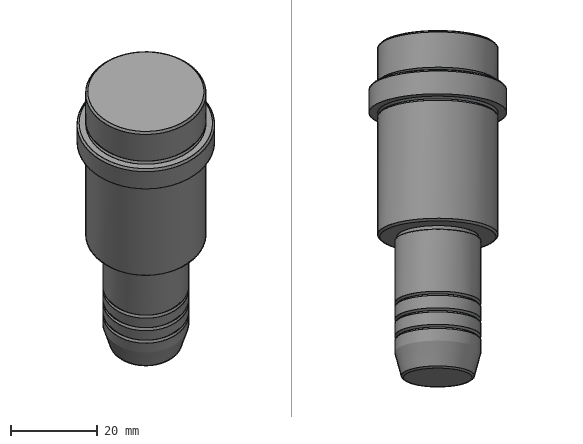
import cadquery as cq
import math

length = 80.0
flange_top = 70.0
flange_bottom = 64.0
body_bottom = 34.0
taper_top = 6.0
groove_tops = [18.0, 14.0, 10.0]

flange_radius = 16.0
body_radius = 14.0
stem_radius = 10.0

edge_chamfer = 0.5
tip_chamfer = 0.4
groove_depth = 0.5
groove_width = 2 * groove_depth
taper_angle = 15.0
tip_radius = stem_radius - taper_top * math.tan(math.radians(taper_angle))


def cylinder(radius, bottom, top):
    return cq.Workplane("XY").workplane(offset=bottom).circle(radius).extrude(top - bottom)


def revolve_profile(points):
    """Turn a closed (radius, z) outline around the Z axis."""
    return cq.Workplane("XZ").polyline(points).close().revolve(360, (0, 0, 0), (0, 1, 0))


def square_groove(radius, top):
    """Ring cutter with a flat floor and straight walls."""
    floor_radius = radius - groove_depth
    bottom = top - groove_width
    return revolve_profile([(radius, top), (floor_radius, top), (floor_radius, bottom), (radius, bottom)])


def v_groove(radius, top):
    """Ring cutter with a 90 degree V section."""
    return revolve_profile([
        (radius, top),
        (radius - groove_depth, top - groove_depth),
        (radius, top - groove_width),
    ])


stem = cylinder(stem_radius, taper_top, body_bottom)
tip = revolve_profile([(0, 0), (tip_radius, 0), (stem_radius, taper_top), (0, taper_top)])
tip = tip.faces("<Z").chamfer(tip_chamfer)

body = cylinder(body_radius, body_bottom, length).faces("<Z or >Z").chamfer(edge_chamfer)
flange = cylinder(flange_radius, flange_bottom, flange_top).faces(">Z").chamfer(edge_chamfer)

result = stem.union(tip).union(body).union(flange)

result = result.cut(v_groove(body_radius, flange_top + groove_width))
result = result.cut(v_groove(body_radius, flange_bottom))
result = result.cut(square_groove(stem_radius, body_bottom))

for groove_top in groove_tops:
    result = result.cut(v_groove(stem_radius, groove_top))